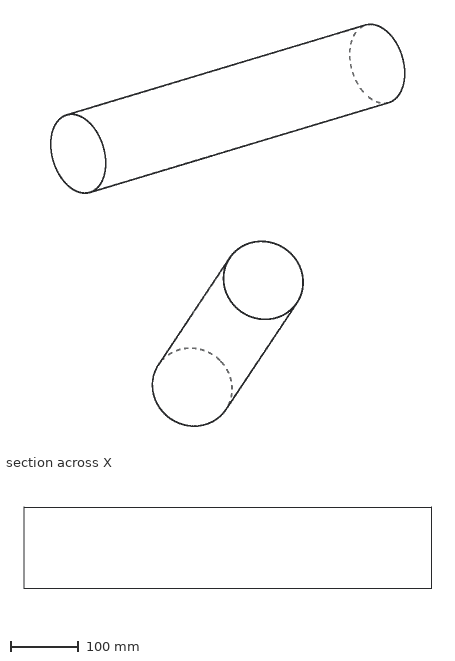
import cadquery as cq

length = 600.0
outer_diameter = 120.0
wall_thickness = 1.0

outer_radius = outer_diameter / 2
inner_radius = outer_radius - wall_thickness

result = (
    cq.Workplane("XZ", origin=(0, length / 2, 0))
    .circle(outer_radius)
    .circle(inner_radius)
    .extrude(length)
)